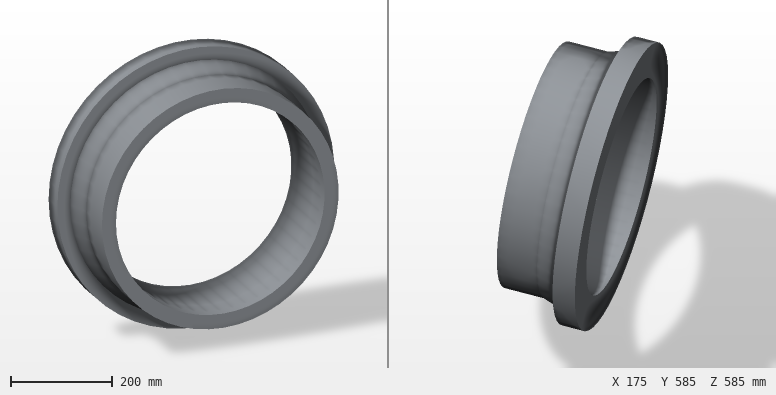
import cadquery as cq

total_length = 175.0
flange_thickness = 46.0
taper_length = 46.0
flange_diameter = 585.0
taper_base_diameter = 530.0
spigot_diameter = 500.0
bore_diameter = 440.6

flange_radius = flange_diameter / 2
taper_base_radius = taper_base_diameter / 2
spigot_radius = spigot_diameter / 2
bore_radius = bore_diameter / 2
taper_end = flange_thickness + taper_length


def revolved_body():
    """Wall section at -Y, with the flange face at X = 0, revolved about the X axis."""
    section = (
        cq.Workplane("XY")
        .moveTo(0, -bore_radius)
        .lineTo(0, -flange_radius)
        .lineTo(flange_thickness, -flange_radius)
        .lineTo(flange_thickness, -taper_base_radius)
        .lineTo(taper_end, -spigot_radius)
        .lineTo(total_length, -spigot_radius)
        .lineTo(total_length, -bore_radius)
        .close()
    )
    return section.revolve(360, (0, 0, 0), (1, 0, 0))


result = revolved_body()